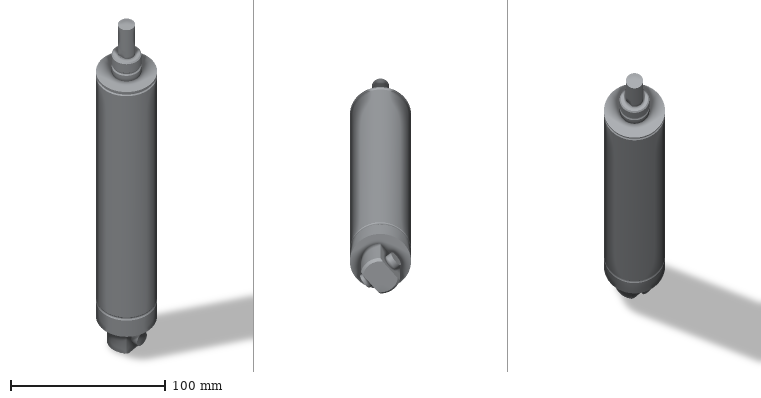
import cadquery as cq

body_diameter = 39.7
cap_bottom = 22.7
body_top = 238.3
crimp_depth = 0.8
crimp_flat = 0.8
lower_crimp_z = 38.3
lower_crimp_height = 2.8
upper_crimp_z = 235.7
upper_crimp_height = 2.2

nose_diameter = 19.3
nose_top = 254.2
nose_chamfer = 0.8
nose_groove_z = 244.5
nose_groove_height = 2.5
nose_groove_flat = 0.8
nose_groove_depth = 0.8

tang_diameter = 25.7
tang_thickness = 16.2
tang_chamfer = 1.7
tang_bottom = 0

pin_diameter = 10.0
pin_length = 26.0
pin_z = 10.0

rod_diameter = 11.2
rod_top = 279.6
rod_across_flats = 9.5
rod_flat_top = 261.0
rod_bottom = lower_crimp_z


def cylinder(diameter, bottom, top):
    """Vertical cylinder on the Z axis."""
    return cq.Workplane("XY").workplane(offset=bottom).circle(diameter / 2).extrude(top - bottom)


def ring_groove(diameter, center_z, height, floor_height, depth):
    """Ring of trapezoidal section that cuts a groove with sloped walls into a cylinder."""
    outer = diameter / 2
    floor = outer - depth
    return (
        cq.Workplane("XZ")
        .moveTo(outer, center_z - height / 2)
        .lineTo(floor, center_z - floor_height / 2)
        .lineTo(floor, center_z + floor_height / 2)
        .lineTo(outer, center_z + height / 2)
        .close()
        .revolve(360, (0, 0, 0), (0, 1, 0))
    )


def make_tube():
    """Barrel and end cap with a crimp groove near each end."""
    tube = cylinder(body_diameter, cap_bottom, body_top)
    for z, height in ((lower_crimp_z, lower_crimp_height), (upper_crimp_z, upper_crimp_height)):
        tube = tube.cut(ring_groove(body_diameter, z, height, crimp_flat, crimp_depth))
    return tube


def make_nose():
    """Mounting nose with a groove and a chamfered rim."""
    nose = cylinder(nose_diameter, body_top, nose_top).faces(">Z").chamfer(nose_chamfer)
    groove = ring_groove(
        nose_diameter, nose_groove_z, nose_groove_height, nose_groove_flat, nose_groove_depth
    )
    return nose.cut(groove)


def make_tang():
    """Round stub with two flats facing X and a chamfer around its round lower rim."""
    tang_height = cap_bottom - tang_bottom
    flats = cq.Workplane("XY").workplane(offset=tang_bottom).rect(tang_thickness, tang_diameter)
    stub = cylinder(tang_diameter, tang_bottom, cap_bottom).faces("<Z").chamfer(tang_chamfer)
    return stub.intersect(flats.extrude(tang_height))


def make_pin():
    """Pivot pin along X, centered on the tang."""
    pin = cq.Workplane("YZ").center(0, pin_z).circle(pin_diameter / 2)
    return pin.extrude(pin_length / 2, both=True)


def make_rod():
    """Piston rod with two wrench flats facing Y just above the nose."""
    rod = cylinder(rod_diameter, rod_bottom, rod_top)
    flat_height = rod_flat_top - nose_top
    flat_section = (
        cq.Workplane("XY")
        .workplane(offset=nose_top)
        .rect(rod_diameter, rod_diameter)
        .rect(rod_diameter, rod_across_flats)
        .extrude(flat_height)
    )
    return rod.cut(flat_section)


def make_body(rod_bore, pin_bore):
    """Cylinder body with bores that fit the rod and the pin."""
    body = make_tube().union(make_nose()).union(make_tang())
    return body.cut(rod_bore).cut(pin_bore)


rod = make_rod()
pin = make_pin()
rod_bore = cylinder(rod_diameter, rod_bottom, nose_top)
body = make_body(rod_bore, pin)

result = cq.Compound.makeCompound([body.val(), rod.val(), pin.val()])